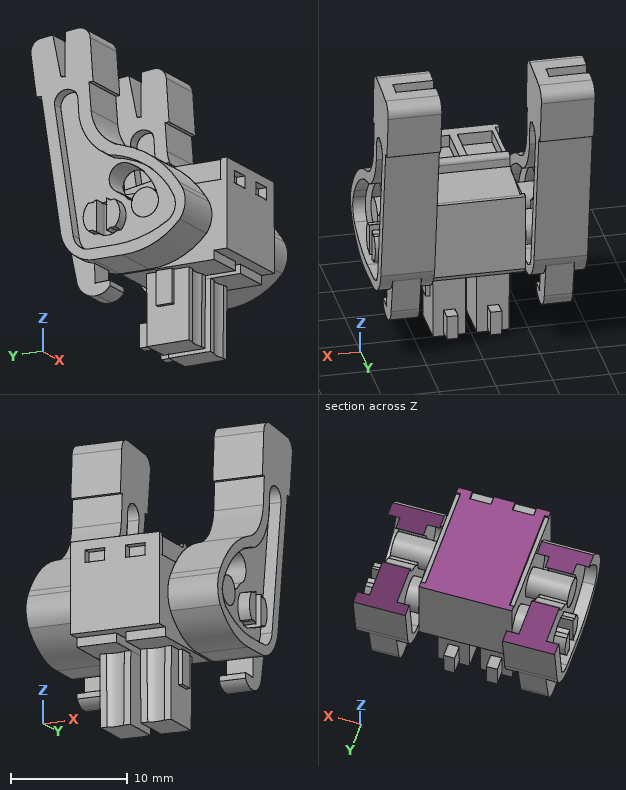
import cadquery as cq
import math


HOUSING_WIDTH = 8.41
BACK_Y = 1.45
FRONT_Y = -9.6
BOTTOM_Z = -3.93
BACK_CHAMFER = 0.65
RIM_Z = 5.12
FOOT_Y = -8.35
FOOT_HEIGHT = 0.83

LIP_Y = 1.05
LIP_Z = 3.68
BAR_BACK_Y = -3.05
BAR_FRONT_Y = -3.95
BAR_BASE_Z = 4.37
BAR_RADIUS = (BAR_BACK_Y - BAR_FRONT_Y) / 2

RECESS_DEPTH = 0.4
RECESS_BACK_Y = 0.85
RECESS_FRONT_Y = -9.0
RECESS_FLOOR_Z = 3.18

POCKET_WIDTH = 3.07
POCKET_RIB = 0.7
POCKET_FRONT_Y = -8.4
POCKET_DEPTH = 1.1
POLE_PITCH = 3.85
WINDOW_WIDTH = 1.88
WINDOW_HEIGHT = 1.1
WINDOW_TOP_Z = 4.25
WINDOW_DEPTH = 0.83

LEG_WIDTH = 2.93
LEG_BACK_Y = -1.25
LEG_FRONT_Y = -5.43
LEG_LENGTH = 6.55
LEG_DRAFT = 0.3
LEG_GAP = POLE_PITCH - LEG_WIDTH
GROOVE_WIDTH = 1.72
GROOVE_DEPTH = 0.2
KEY_BACK_Y = -2.4
KEY_FRONT_Y = -3.95
KEY_HEIGHT = 0.35
KEY_LENGTH = 3.13
CATCH_WIDTH = 1.0
CATCH_DEPTH = 1.25
CATCH_TOP_Z = -7.97
CATCH_HEIGHT = 2.21

OVERALL_WIDTH = 18.2
LEVER_WIDTH = 4.73
LEVER_POCKET_DEPTH = 1.1
WEB_WIDTH = LEVER_WIDTH - 2 * LEVER_POCKET_DEPTH
LEVER_X = (OVERALL_WIDTH - LEVER_WIDTH) / 2
LEVER_BOTTOM_Z = -3.9
NOTCH_LENGTH = 3.57
HEAD_RADIUS = 1.13

PIVOT_RADIUS = 1.52
LUG_RADIUS = 1.8
LUG_HEIGHT = 2.5
LUG_THICKNESS = LEVER_POCKET_DEPTH
PIVOT_SPLIT = 1.0
SPLIT_DEPTH = 1.38
GUIDE_RADIUS = 3.76
PIN_RADIUS = 1.33
PIN_ANGLE = 166
GUIDE_END_ANGLE = 113
DETENT_ANGLE = 142
DETENT_TIP_ANGLE = 16


def box_between(x0, x1, y0, y1, z0, z1):
    corner = (min(x0, x1), min(y0, y1), min(z0, z1))
    return cq.Workplane("XY").box(
        abs(x1 - x0), abs(y1 - y0), abs(z1 - z0), centered=False
    ).translate(corner)


def polar_point(angle, radius=GUIDE_RADIUS, center=(0, 0)):
    turn = math.radians(angle)
    return center[0] + radius * math.cos(turn), center[1] + radius * math.sin(turn)


def slab(outline, width):
    """Extrude a closed YZ outline to both sides of X = 0."""
    return outline.close().extrude(width / 2, both=True)


def lever_arm():
    outline = (
        cq.Workplane("YZ")
        .moveTo(1.25, 12.45)
        .lineTo(1.02, 9.55)
        .threePointArc((0.1, 7.34), (-2.05, 5.98))
        .threePointArc((-5.15, 4.43), (-7.6, 1.83))
        .lineTo(-7.95, 1.27)
        .threePointArc((-8.22, -0.08), (-7.7, -1.52))
        .threePointArc((-6.1, -2.82), (-2.08, LEVER_BOTTOM_Z))
        .lineTo(0.83, LEVER_BOTTOM_Z)
        .threePointArc((2.93, -3.05), (4.0, -1.22))
        .lineTo(5.92, 11.5)
        .lineTo(5.92, 12.45)
    )
    return slab(outline, LEVER_WIDTH)


def lever_head():
    outline = (
        cq.Workplane("YZ")
        .moveTo(6.42, 11.57)
        .lineTo(7.1, 16.7)
        .lineTo(1.2, 17.3)
        .lineTo(0.83, 12.15)
        .lineTo(1.25, 12.15)
        .lineTo(5.92, 11.57)
    )
    return slab(outline, LEVER_WIDTH).edges("|X and (>Z or >Y)").fillet(HEAD_RADIUS)


def lever_hook():
    outline = (
        cq.Workplane("YZ")
        .moveTo(3.88, -1.38)
        .lineTo(3.07, -5.25)
        .threePointArc((2.3, -6.48), (1.02, -6.78))
        .threePointArc((0.28, -6.55), (-0.22, -6.1))
        .lineTo(-0.22, -5.6)
        .lineTo(1.25, -5.65)
        .lineTo(1.33, -2.77)
    )
    return slab(outline, WEB_WIDTH)


def lever_pocket():
    outline = (
        cq.Workplane("YZ")
        .moveTo(4.62, 10.65)
        .threePointArc((3.45, 11.82), (2.3, 10.52))
        .lineTo(2.21, 9.15)
        .threePointArc((1.15, 6.8), (-0.72, 5.31))
        .threePointArc((-4.15, 3.99), (-6.6, 1.63))
        .lineTo(-7.05, 0.78)
        .threePointArc((-7.25, -0.15), (-6.6, -1.4))
        .threePointArc((-4.1, -2.5), (-1.45, -2.88))
        .lineTo(1.2, -2.88)
        .threePointArc((2.25, -2.45), (2.8, -1.4))
    )
    return slab(outline, LEVER_POCKET_DEPTH)


def lever_notch():
    """Tapered slot in the grip, open at the -X face."""
    outline = (
        cq.Workplane("YZ", origin=(-LEVER_WIDTH / 2, 0, 0))
        .moveTo(4.85, 17.22)
        .lineTo(4.0, 13.18)
        .threePointArc((3.95, 13.06), (3.85, 13.0))
        .lineTo(3.57, 13.0)
        .lineTo(3.57, 17.45)
    )
    return outline.close().extrude(NOTCH_LENGTH)


def guide_slot():
    """Slot swept about the pivot axis through the web, with a detent that holds the pin."""
    pin_center = polar_point(PIN_ANGLE)
    far_center = polar_point(GUIDE_END_ANGLE)
    inner = GUIDE_RADIUS - PIN_RADIUS
    outer = GUIDE_RADIUS + PIN_RADIUS
    inner_middle = polar_point((DETENT_ANGLE + GUIDE_END_ANGLE) / 2, inner)
    outer_middle = polar_point((PIN_ANGLE + GUIDE_END_ANGLE) / 2, outer)
    band = (
        cq.Workplane("YZ")
        .moveTo(*pin_center)
        .lineTo(*polar_point(DETENT_TIP_ANGLE, PIN_RADIUS, pin_center))
        .lineTo(*polar_point(DETENT_ANGLE, inner))
        .threePointArc(inner_middle, polar_point(GUIDE_END_ANGLE, inner))
        .lineTo(*polar_point(GUIDE_END_ANGLE, outer))
        .threePointArc(outer_middle, polar_point(PIN_ANGLE, outer))
    )
    rounds = cq.Workplane("YZ").pushPoints([pin_center, far_center]).circle(PIN_RADIUS)
    return slab(band, WEB_WIDTH).union(rounds.extrude(WEB_WIDTH / 2, both=True))


def make_lever():
    body = lever_arm().union(lever_head()).union(lever_hook())
    pocket_x = (LEVER_WIDTH - LEVER_POCKET_DEPTH) / 2
    for side in (-1, 1):
        body = body.cut(lever_pocket().translate((side * pocket_x, 0, 0)))
    pivot_hole = cq.Workplane("YZ").circle(PIVOT_RADIUS).extrude(WEB_WIDTH / 2, both=True)
    return body.cut(pivot_hole).cut(guide_slot()).cut(lever_notch())


def housing_block():
    outline = (
        cq.Workplane("YZ")
        .moveTo(BACK_Y - BACK_CHAMFER, BOTTOM_Z)
        .lineTo(BACK_Y, BOTTOM_Z + BACK_CHAMFER)
        .lineTo(BACK_Y, LIP_Z)
        .lineTo(LIP_Y, LIP_Z)
        .lineTo(BAR_BACK_Y, BAR_BASE_Z)
        .lineTo(BAR_BACK_Y, RIM_Z)
        .threePointArc((BAR_BACK_Y - BAR_RADIUS, RIM_Z + BAR_RADIUS), (BAR_FRONT_Y, RIM_Z))
        .lineTo(FRONT_Y, RIM_Z)
        .lineTo(FRONT_Y, BOTTOM_Z + FOOT_HEIGHT)
        .lineTo(FOOT_Y, BOTTOM_Z + FOOT_HEIGHT)
        .lineTo(FOOT_Y, BOTTOM_Z)
    )
    return slab(outline, HOUSING_WIDTH)


def side_recess(side):
    outer_x = side * HOUSING_WIDTH / 2
    inner_x = outer_x - side * RECESS_DEPTH
    recess_top = RIM_Z + 2 * BAR_RADIUS
    return box_between(inner_x, outer_x, RECESS_BACK_Y, RECESS_FRONT_Y, RECESS_FLOOR_Z, recess_top)


def top_pocket(side):
    inner_x = side * POCKET_RIB / 2
    outer_x = inner_x + side * POCKET_WIDTH
    return box_between(inner_x, outer_x, BAR_FRONT_Y, POCKET_FRONT_Y, RIM_Z - POCKET_DEPTH, RIM_Z)


def front_window(side):
    middle_x = side * POLE_PITCH / 2
    half = WINDOW_WIDTH / 2
    return box_between(
        middle_x - half, middle_x + half,
        FRONT_Y, FRONT_Y + WINDOW_DEPTH,
        WINDOW_TOP_Z - WINDOW_HEIGHT, WINDOW_TOP_Z,
    )


def foot_slot():
    half = LEG_GAP / 2
    return box_between(-half, half, FOOT_Y, LEG_BACK_Y, BOTTOM_Z, BOTTOM_Z + FOOT_HEIGHT)


def side_studs():
    """Split snap pivot and guide pin that stand on the +X side of the housing."""
    root_x = HOUSING_WIDTH / 2
    floor_x = LEVER_X + WEB_WIDTH / 2
    end_x = floor_x + LUG_THICKNESS
    base = cq.Workplane("YZ", origin=(root_x, 0, 0))
    shaft = base.circle(PIVOT_RADIUS).extrude(end_x - root_x)
    lug_disc = cq.Workplane("YZ", origin=(floor_x, 0, 0)).circle(LUG_RADIUS).extrude(LUG_THICKNESS)
    lugs = lug_disc.intersect(
        box_between(floor_x, end_x, -LUG_RADIUS, LUG_RADIUS, -LUG_HEIGHT / 2, LUG_HEIGHT / 2)
    )
    split_x = end_x - SPLIT_DEPTH
    split_half = PIVOT_SPLIT / 2
    split_bottom = (
        cq.Workplane("XY", origin=(split_x, 0, -LUG_RADIUS))
        .circle(split_half)
        .extrude(2 * LUG_RADIUS)
    )
    split = split_bottom.union(
        box_between(split_x, end_x, -split_half, split_half, -LUG_RADIUS, LUG_RADIUS)
    )
    pin = base.pushPoints([polar_point(PIN_ANGLE)]).circle(PIN_RADIUS).extrude(floor_x - root_x)
    return shaft.union(lugs).cut(split).union(pin)


def plug_leg(side):
    middle_x = side * POLE_PITCH / 2
    middle_y = (LEG_BACK_Y + LEG_FRONT_Y) / 2
    body = (
        cq.Workplane("XY", origin=(middle_x, middle_y, BOTTOM_Z))
        .rect(LEG_WIDTH, LEG_BACK_Y - LEG_FRONT_Y)
        .extrude(-LEG_LENGTH, taper=LEG_DRAFT)
    )
    groove_radius = (GROOVE_WIDTH**2 / 4 + GROOVE_DEPTH**2) / (2 * GROOVE_DEPTH)
    groove_y = LEG_FRONT_Y + GROOVE_DEPTH - groove_radius
    groove = (
        cq.Workplane("XY", origin=(middle_x, groove_y, BOTTOM_Z))
        .circle(groove_radius)
        .extrude(-LEG_LENGTH)
    )
    outer_x = side * (POLE_PITCH + LEG_WIDTH) / 2
    key = box_between(
        middle_x, outer_x + side * KEY_HEIGHT, KEY_BACK_Y, KEY_FRONT_Y, BOTTOM_Z - KEY_LENGTH, BOTTOM_Z
    )
    catch = box_between(
        middle_x - CATCH_WIDTH / 2, middle_x + CATCH_WIDTH / 2,
        LEG_BACK_Y + CATCH_DEPTH, middle_y, CATCH_TOP_Z - CATCH_HEIGHT, CATCH_TOP_Z,
    )
    return body.cut(groove).union(key).union(catch)


def make_housing():
    body = housing_block().cut(foot_slot())
    for side in (-1, 1):
        body = body.cut(side_recess(side)).cut(top_pocket(side)).cut(front_window(side))
        body = body.union(plug_leg(side))
    studs = side_studs()
    return body.union(studs).union(studs.mirror("YZ"))


housing = make_housing()
lever = make_lever()
levers = [lever.translate((side * LEVER_X, 0, 0)) for side in (-1, 1)]
result = cq.Compound.makeCompound([housing.val(), *[body.val() for body in levers]])